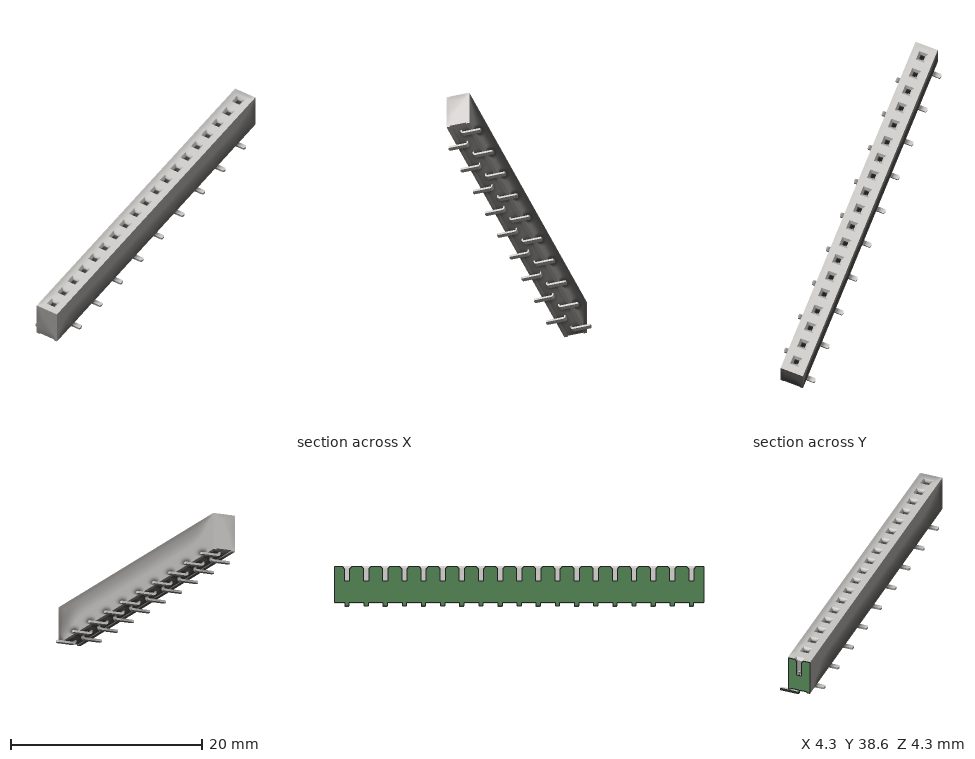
import cadquery as cq

body_length = 38.6
body_width = 2.5
overall_height = 4.3
body_bottom = 0.35
channel_width = 1.75
channel_depth = 0.1

socket_count = 19
end_margin = 1.3
pitch = (body_length - 2 * end_margin) / (socket_count - 1)
mouth_size = 1.0
throat_size = 0.5
funnel_depth = 0.27
socket_depth = 1.93

lead_span = 4.3
lead_thickness = 0.25
lead_width = 0.5
bend_radius = 0.3
tip_bulge = 0.08
blade_thickness = 0.15
socket_floor = overall_height - socket_depth
blade_rise = 0.4
blade_top = socket_floor + blade_rise


def make_housing():
    """Rectangular bar with the full-length channel cut from its underside."""
    bar = (
        cq.Workplane("XY")
        .workplane(offset=body_bottom)
        .rect(body_width, body_length)
        .extrude(overall_height - body_bottom)
    )
    channel = (
        cq.Workplane("XY")
        .workplane(offset=body_bottom)
        .rect(channel_width, body_length)
        .extrude(channel_depth)
    )
    return bar.cut(channel)


def make_socket(y):
    """Square socket with a funnel mouth, open at the top of the housing."""
    throat = (
        cq.Workplane("XY", origin=(0, y, socket_floor))
        .rect(throat_size, throat_size)
        .extrude(socket_depth)
    )
    funnel = (
        cq.Workplane("XY", origin=(0, y, overall_height))
        .rect(mouth_size, mouth_size)
        .workplane(offset=-funnel_depth)
        .rect(throat_size, throat_size)
        .loft(ruled=True)
    )
    return throat.union(funnel)


def make_lead(y, side):
    """Upright blade with a foot that bends out to the given side (-1 or +1) and a gently rounded tip."""
    back = -side * blade_thickness / 2
    front = -back
    tip = side * lead_span / 2
    strip = (
        cq.Workplane("XZ", origin=(0, y + lead_width / 2, 0))
        .moveTo(tip, 0)
        .lineTo(back + side * bend_radius, 0)
        .radiusArc((back, bend_radius), side * bend_radius)
        .lineTo(back, blade_top)
        .lineTo(front, blade_top)
        .lineTo(front, lead_thickness)
        .lineTo(tip, lead_thickness)
        .close()
        .extrude(lead_width)
    )
    plan_outline = (
        cq.Workplane("XY", origin=(0, y, 0))
        .moveTo(back, -lead_width / 2)
        .lineTo(tip - side * tip_bulge, -lead_width / 2)
        .threePointArc((tip, 0), (tip - side * tip_bulge, lead_width / 2))
        .lineTo(back, lead_width / 2)
        .close()
        .extrude(blade_top)
    )
    return strip.intersect(plan_outline)


result = make_housing()
for index in range(socket_count):
    socket_y = (index - (socket_count - 1) / 2) * pitch
    lead_side = -1 if index % 2 == 0 else 1
    result = result.cut(make_socket(socket_y))
    result = result.union(make_lead(socket_y, lead_side))